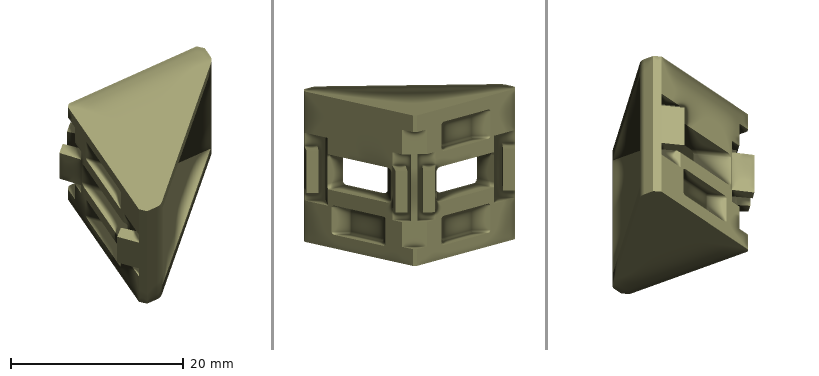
import cadquery as cq
import math


LEG = 18.0
HEIGHT = 18.0
HYPOTENUSE_SUM = 20.5
WALL = 3.0
PLATE = 1.5
CORNER_CHAMFER = 0.35
END_CHAMFER = 0.7
HYPOTENUSE_RADIUS = 1.2
CLEARANCE = 1.0

FACET = 2.07
FACET_HEIGHT = 14.0
RIDGE_SUM = 2.35

NOTCH_HEIGHT = 8.1
CORNER_NOTCH_APEX = (2.07, 1.46)
CORNER_NOTCH_END = 3.56
END_NOTCH_START = 13.62
END_NOTCH_APEX = (15.65, 1.86)
END_NOTCH_END = LEG - END_CHAMFER

TAB_HEIGHT = 5.0
TAB_WIDTH = 1.38
TAB_REACH = 1.79
CORNER_TAB_REACH = 1.74
TAB_ANGLE = 42.0
CORNER_TAB_ANGLE = 40.0
TAB_INNER_LENGTH = 3.8
TAB_TAPER = 3.0
CORNER_TAB_END_ANGLE = 45.0

SLOT_START = 3.7
SLOT_END = 14.0
SLOT_HEIGHT = 4.2
SLOT_INNER_START = 7.0
SLOT_RADIUS = 0.5

POCKET_START = 4.6
POCKET_END = 13.03
POCKET_FLOOR_START = 6.3
POCKET_FLOOR_END = 11.55
POCKET_DEPTH = 1.6
POCKET_HEIGHT = 3.5
POCKET_OFFSET = 5.63
POCKET_RADIUS = 0.3


def prism(points, height, middle=0.0):
    """Straight prism on an XY outline, centred on the given Z."""
    outline = cq.Workplane("XY").workplane(offset=middle - height / 2).polyline(points).close()
    return outline.extrude(height)


def other_wall(shape):
    """The same shape on the X = 0 wall, mirrored across the plane X = Y."""
    return shape.mirror(cq.Vector(1, -1, 0))


def point_on_line(start, end, y):
    """Point at the given y on the line through two points."""
    share = (y - start[1]) / (end[1] - start[1])
    return (start[0] + share * (end[0] - start[0]), y)


def bracket_body():
    """Triangular block hollowed from its sloping side."""
    hypotenuse_end = HYPOTENUSE_SUM - LEG
    body = prism(
        [
            (CORNER_CHAMFER, 0),
            (LEG - END_CHAMFER, 0),
            (LEG, END_CHAMFER),
            (LEG, hypotenuse_end),
            (hypotenuse_end, LEG),
            (END_CHAMFER, LEG),
            (0, LEG - END_CHAMFER),
            (0, CORNER_CHAMFER),
        ],
        HEIGHT,
    )
    for x, y in [(LEG, hypotenuse_end), (hypotenuse_end, LEG)]:
        edge = cq.selectors.NearestToPointSelector((x, y, 0))
        body = body.edges("|Z").edges(edge).fillet(HYPOTENUSE_RADIUS)
    cavity = prism([(WALL, WALL), (LEG + WALL, WALL), (WALL, LEG + WALL)], HEIGHT - 2 * PLATE)
    return body.cut(cavity)


def corner_relief():
    """Wide chamfer across the outer corner, cut deeper between the two corner notches."""
    facet = prism([(0, 0), (FACET, 0), (0, FACET)], FACET_HEIGHT)
    ridge = prism([(0, 0), (RIDGE_SUM, 0), (0, RIDGE_SUM)], NOTCH_HEIGHT)
    return facet.union(ridge)


def corner_notch():
    apex_x, apex_y = CORNER_NOTCH_APEX
    tab_slope = math.tan(math.radians(TAB_ANGLE))
    start = apex_x - apex_y / tab_slope
    return prism([(start, 0), CORNER_NOTCH_APEX, (CORNER_NOTCH_END, 0)], NOTCH_HEIGHT)


def end_notch():
    return prism([(END_NOTCH_START, 0), END_NOTCH_APEX, (END_NOTCH_END, 0)], NOTCH_HEIGHT)


def direction(angle):
    """Unit vector in the XY plane at an angle in degrees from +X."""
    return cq.Vector(math.cos(math.radians(angle)), math.sin(math.radians(angle)), 0)


def tab(root_x, reach, angle, end_angle):
    """Slanted tab, slightly thicker toward its root in the notch, leaning toward the corner.

    Its outer side leaves the Y = 0 face at root_x; end_angle is the slant of its free end.
    """
    root = cq.Vector(root_x, 0, 0)
    outer_side = direction(angle)
    inner_side = direction(angle + TAB_TAPER)
    tip = root - outer_side * (reach / outer_side.y)
    inner_tip = tip + direction(180 - end_angle) * TAB_WIDTH
    inner_root = inner_tip + inner_side * TAB_INNER_LENGTH
    corners = [root, tip, inner_tip, inner_root]
    return prism([(corner.x, corner.y) for corner in corners], TAB_HEIGHT)


def screw_slot():
    """Slot through the Y = 0 wall, slanted on the side nearest the corner."""
    corner_side = [(SLOT_START, 0), (SLOT_INNER_START, WALL)]
    outside = -CLEARANCE
    inside = WALL + CLEARANCE
    slot = prism(
        [
            point_on_line(*corner_side, outside),
            (SLOT_END, outside),
            (SLOT_END, inside),
            point_on_line(*corner_side, inside),
        ],
        SLOT_HEIGHT,
    )
    side_walls = slot.faces("<X or >X")
    return side_walls.edges("not |Z").fillet(SLOT_RADIUS)


def pocket(middle, round_floor_ends):
    """Blind pocket with slanted end walls.

    The edges of its top and bottom sides are rounded, and optionally the two ends of its floor.
    """
    outside = -CLEARANCE
    floor_start = (POCKET_FLOOR_START, POCKET_DEPTH)
    floor_end = (POCKET_FLOOR_END, POCKET_DEPTH)
    shape = prism(
        [
            point_on_line((POCKET_START, 0), floor_start, outside),
            floor_start,
            floor_end,
            point_on_line((POCKET_END, 0), floor_end, outside),
        ],
        POCKET_HEIGHT,
        middle,
    )
    rounded = shape.faces("|Z").edges("not <Y")
    if round_floor_ends:
        rounded = rounded.add(shape.edges("|Z").edges(">Y"))
    return rounded.fillet(POCKET_RADIUS)


def locating_tabs():
    corner_tab = tab(CORNER_NOTCH_END, CORNER_TAB_REACH, CORNER_TAB_ANGLE, CORNER_TAB_END_ANGLE)
    end_tab = tab(END_NOTCH_END, TAB_REACH, TAB_ANGLE, 90 - TAB_ANGLE)
    return corner_tab.union(end_tab)


result = bracket_body().cut(corner_relief())
for feature in (corner_notch(), end_notch(), screw_slot()):
    result = result.cut(feature).cut(other_wall(feature))

result = result.cut(pocket(POCKET_OFFSET, False)).cut(pocket(-POCKET_OFFSET, False))
result = result.cut(other_wall(pocket(-POCKET_OFFSET, True)))

tabs = locating_tabs()
result = result.union(tabs).union(other_wall(tabs))